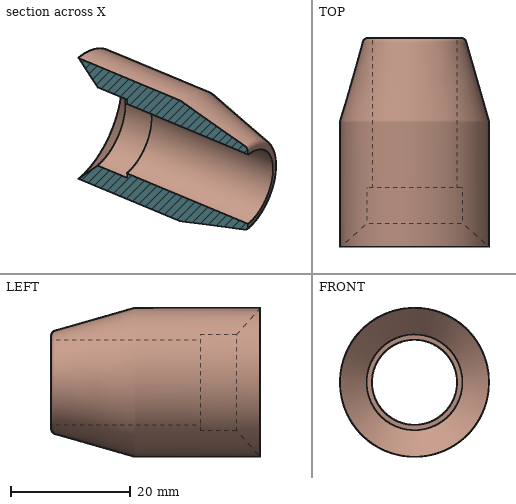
import cadquery as cq
import math

length = 35.0
outer_radius = 12.5
body_length = 21.0
taper_angle = 16.0
shoulder_fillet = 0.98
tip_fillet = 0.98
bore_radius = 7.1
counterbore_radius = 8.0
counterbore_depth = 10.0
mouth_depth = 4.0

tip_radius = outer_radius - (length - body_length) * math.tan(math.radians(taper_angle))


def at_rim(radius, y):
    """Select the circular edge of the given radius and axial position."""
    tolerance = 0.05
    return cq.selectors.BoxSelector(
        (-radius - tolerance, y - tolerance, -radius - tolerance),
        (radius + tolerance, y + tolerance, radius + tolerance),
        boundingbox=True,
    )


outer_form = (
    cq.Workplane("XY")
    .polyline([
        (0, 0),
        (outer_radius, 0),
        (outer_radius, body_length),
        (tip_radius, length),
        (0, length),
    ])
    .close()
    .revolve(360, (0, 0, 0), (0, 1, 0))
)
outer_form = outer_form.edges(at_rim(outer_radius, body_length)).fillet(shoulder_fillet)
outer_form = outer_form.edges(at_rim(tip_radius, length)).fillet(tip_fillet)

cavity = (
    cq.Workplane("XY")
    .polyline([
        (0, 0),
        (outer_radius, 0),
        (counterbore_radius, mouth_depth),
        (counterbore_radius, counterbore_depth),
        (bore_radius, counterbore_depth),
        (bore_radius, length),
        (0, length),
    ])
    .close()
    .revolve(360, (0, 0, 0), (0, 1, 0))
)

result = outer_form.cut(cavity)